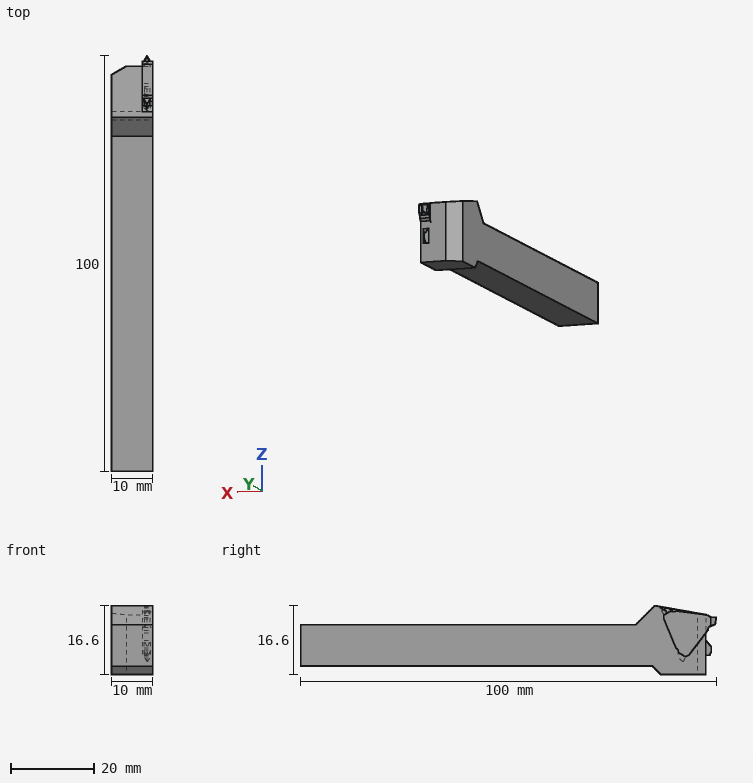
import cadquery as cq
import math


length = 100.0
width = 10.0
shank_height = 10.0
head_height = 16.6
head_drop = 2.0
face_setback = 2.5
peak_setback = 14.8
drop_setback = 13.4
top_tilt = math.radians(10)
corner_width = 3.6
corner_depth = corner_width * math.tan(math.radians(30))

insert_thickness = 2.5
insert_left = width - insert_thickness
insert_setback = 7.1
insert_z = 10.8
tooth_count = 3
tooth_x = 8.6
tooth_half_angle = math.radians(30)
rake_z = 13.8
tooth_flank = 1.6
tooth_drop = 0.8
tooth_root = 1.8
relief_angle = math.radians(8)
plate_corner = [(2.1, 14.3), (1.3, rake_z), (1.3, 11.9), (1.8, 11.4), (1.9, 11.1), (2.0, 10.7)]

pocket_end = 13.5
pocket_floor_start = 12.0
pocket_floor_low = 15.2
pocket_floor_high = 16.1
pocket_inside = [(face_setback, 13.5), (10.0, 14.2), (pocket_floor_start, 14.3)]

ridge_tip = 1.2
ridge_top = 8.2
ridge_upper = 6.7
ridge_lower = 5.5
ridge_bottom = 4.6
ridge_toe = 1.6


def side_plate(outline, left, thickness):
    """Plate parallel to YZ with a (setback, height) outline."""
    points = [(length - setback, height) for setback, height in outline]
    return cq.Workplane("YZ", origin=(left, 0, 0)).polyline(points).close().extrude(thickness)


def vee_bar(tip, root, top, bottom, relief=0.0):
    """Vee-nosed upright bar whose front edge leans back by the relief angle towards its bottom."""
    half_width = (root - tip) * math.tan(tooth_half_angle)
    corners = [
        (tooth_x, length - tip, top),
        (tooth_x - half_width, length - root, top),
        (tooth_x + half_width, length - root, top),
    ]
    wire = cq.Wire.makePolygon([cq.Vector(*corner) for corner in corners], close=True)
    drop = top - bottom
    sweep = cq.Vector(0, -drop * math.tan(relief), -drop)
    return cq.Workplane(cq.Solid.extrudeLinear(wire, [], sweep))


def turn_about_insert(shape, angle):
    """Turn a shape about the insert axis, which is parallel to X."""
    centre_y = length - insert_setback
    return shape.rotate((0, centre_y, insert_z), (1, centre_y, insert_z), angle)


def turned_point(point, angle):
    """Turn a (setback, height) point about the insert centre, from the front over the top."""
    setback = point[0] - insert_setback
    height = point[1] - insert_z
    cosine = math.cos(math.radians(angle))
    sine = math.sin(math.radians(angle))
    return (
        insert_setback + setback * cosine + height * sine,
        insert_z - setback * sine + height * cosine,
    )


def make_tooth():
    """Front tooth: a relieved vee with a sloped underside."""
    flank_bottom = rake_z - tooth_flank
    root_bottom = flank_bottom - tooth_drop
    bar = vee_bar(0, tooth_root, rake_z, root_bottom, relief_angle)
    side = [(0, rake_z), (0, flank_bottom), (tooth_root, root_bottom), (tooth_root, rake_z)]
    return bar.intersect(side_plate(side, insert_left, insert_thickness))


def make_insert():
    """Three-cornered plate with a vee tooth at each corner."""
    step = 360 / tooth_count
    outline = []
    for corner in range(tooth_count):
        outline += [turned_point(point, -corner * step) for point in plate_corner]
    insert = side_plate(outline, insert_left, insert_thickness)
    tooth = make_tooth()
    for corner in range(tooth_count):
        insert = insert.union(turn_about_insert(tooth, corner * step))
    return insert


def make_blank():
    """Shank and raised head, with the bevelled front corner on the -X side."""
    shank_top = head_drop + shank_height
    face_top = head_height - (peak_setback - face_setback) * math.tan(top_tilt)
    outline = [
        (length, head_drop),
        (drop_setback + head_drop, head_drop),
        (drop_setback, 0),
        (face_setback, 0),
        (face_setback, face_top),
        (peak_setback, head_height),
        (peak_setback + head_height - shank_top, shank_top),
        (length, shank_top),
    ]
    face_y = length - face_setback
    corner = (
        cq.Workplane("XY")
        .polyline([(0, face_y), (corner_width, face_y), (0, face_y - corner_depth)])
        .close()
        .extrude(head_height)
    )
    return side_plate(outline, 0, width).cut(corner)


def make_pocket_opening():
    """Space above the insert and behind its rear tooth, open at the top, front and +X side."""
    outline = pocket_inside + [
        (pocket_floor_start, pocket_floor_low),
        (pocket_end, pocket_floor_high),
        (pocket_end, head_height),
        (face_setback, head_height),
    ]
    return side_plate(outline, insert_left, insert_thickness)


def make_ridge():
    """Vee-nosed ridge standing on the front face below the insert."""
    bar = vee_bar(ridge_tip, face_setback, ridge_top, ridge_bottom)
    side = [
        (face_setback, ridge_top),
        (ridge_tip, ridge_upper),
        (ridge_tip, ridge_lower),
        (ridge_toe, ridge_bottom),
        (face_setback, ridge_bottom),
    ]
    return bar.intersect(side_plate(side, insert_left, insert_thickness))


insert = make_insert()
holder = make_blank().cut(make_pocket_opening()).cut(insert)
ridge = make_ridge()

result = cq.Compound.makeCompound([body.solids().val() for body in (holder, insert, ridge)])